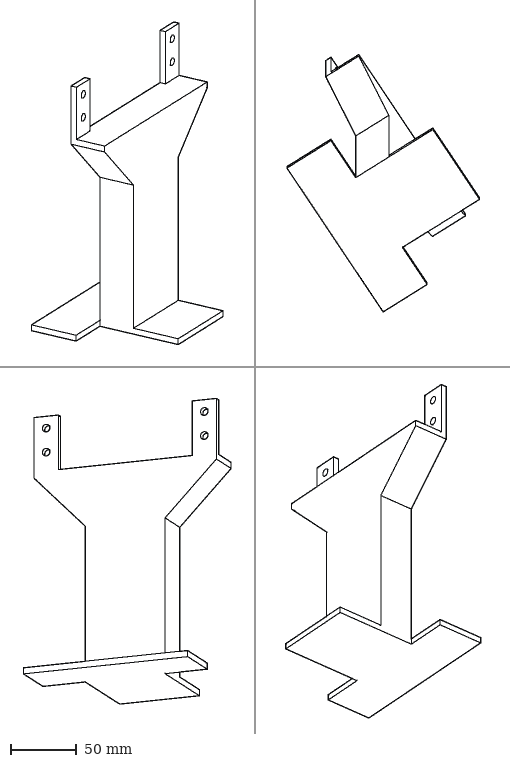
import cadquery as cq

total_depth = 110.0
total_width = 150.0
total_height = 213.0

thickness = 5.0

column_depth = 30.0
column_width = 65.6
shelf_height = 170.0
flare_top = shelf_height - thickness
flare_rise = (total_width - column_width) / 2
flare_bottom = flare_top - flare_rise

tab_width = 20.0
hole_diameter = 6.0
hole_pitch = 19.0
top_hole_drop = 9.4

front_foot_width = 135.0
rear_foot_width = column_width
foot_length = (total_depth - column_depth) / 2

column_front = -column_depth / 2
column_back = column_depth / 2


def make_body():
    """Column that flares out at 45 degrees to a full-width head."""
    half_column = column_width / 2
    half_head = total_width / 2
    outline = [
        (-half_column, 0),
        (half_column, 0),
        (half_column, flare_bottom),
        (half_head, flare_top),
        (half_head, shelf_height),
        (-half_head, shelf_height),
        (-half_head, flare_top),
        (-half_column, flare_bottom),
    ]
    return (
        cq.Workplane("YZ", origin=(column_front, 0, 0))
        .polyline(outline)
        .close()
        .extrude(column_depth)
    )


def make_tab(side):
    """Upright tab at one end of the head, flush with its front, with two holes."""
    tab_center = side * (total_width - tab_width) / 2
    top_hole = total_height - top_hole_drop
    tab = cq.Workplane("XY", origin=(column_front, tab_center, shelf_height)).box(
        thickness, tab_width, total_height - shelf_height, centered=(False, True, False)
    )
    holes = (
        cq.Workplane("YZ", origin=(column_front, 0, 0))
        .pushPoints([(tab_center, top_hole), (tab_center, top_hole - hole_pitch)])
        .circle(hole_diameter / 2)
        .extrude(thickness)
    )
    return tab.cut(holes)


def make_foot(start_x, width):
    """Flat foot resting on the ground, starting at start_x."""
    return cq.Workplane("XY", origin=(start_x, 0, 0)).box(
        foot_length, width, thickness, centered=(False, True, False)
    )


result = make_body()
for side in (-1, 1):
    result = result.union(make_tab(side))
result = result.union(make_foot(column_front - foot_length, front_foot_width))
result = result.union(make_foot(column_back, rear_foot_width))
result = result.clean()